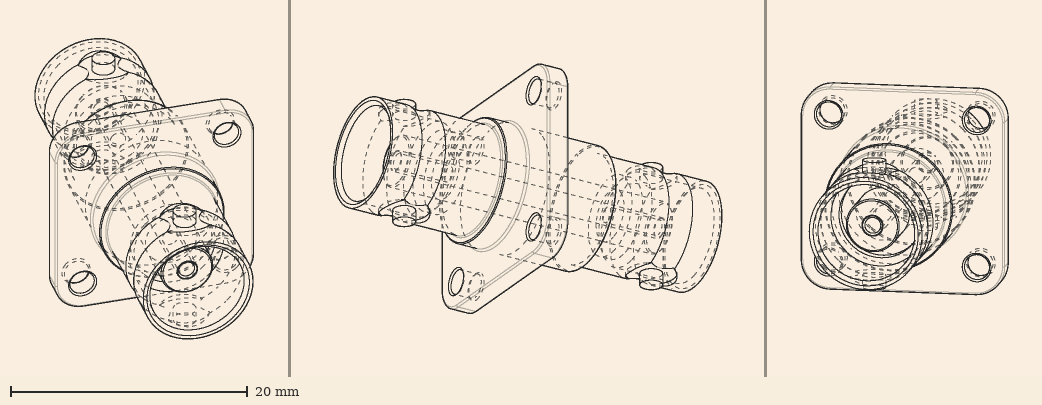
import cadquery as cq

LENGTH = 32.5
FLANGE_SIDE = 17.5

BARREL_RADIUS = 4.85
BARREL_ROOT_FILLET = 0.13
BOSS_RADIUS = 5.5
BOSS_LENGTH = 10.92
BOSS_EDGE_CHAMFER = 0.1

FLANGE_START = 1.25
FLANGE_THICKNESS = 2.0
FLANGE_CORNER_RADIUS = 2.5
FLANGE_EDGE_FILLET = 0.15
FLANGE_ROOT_FILLET = 0.2
SCREW_SPACING = 12.7
SCREW_HOLE_RADIUS = 1.07
SCREW_HOLE_CHAMFER = 0.15

LUG_OFFSET = 12.2
LUG_RADIUS = 0.98
LUG_TIP_HEIGHT = BOSS_RADIUS
RECESS_RADIUS = 2.18
RECESS_FLOOR_HEIGHT = 4.42
GROOVE_WIDTH = 2.35
GROOVE_DEPTH = 0.23

MOUTH_RADIUS = 4.52
BORE_RADIUS = 4.15
BORE_DEPTH = 6.5
SEAT_RADIUS = 3.58
SOCKET_DEPTH = 8.13

INSULATOR_RADIUS = 2.28
INSULATOR_EDGE_CHAMFER = 0.13
INSULATOR_RECESS = 3.25
CONTACT_RADIUS = 0.9
CONTACT_HOLE_RADIUS = 0.68
CONTACT_HOLE_DEPTH = 5.2
CONTACT_MOUTH_CHAMFER = 0.15

HALF_LENGTH = LENGTH / 2
CORE_HALF_LENGTH = HALF_LENGTH - INSULATOR_RECESS
ENDS = (-1, 1)
LUG_SIDES = (-1, 1)


def x_cylinder(radius, length, start):
    """Cylinder on the connector axis, running along +X from start."""
    return cq.Workplane("YZ").workplane(offset=start).circle(radius).extrude(length)


def revolve_about_x(profile):
    """Full turn of an XY profile about the X axis."""
    return profile.close().revolve(360, (0, 0, 0), (1, 0, 0))


def fillet_step(body, x, inner_radius, fillet):
    """Round the inside corner where a cylinder about X meets a flat face at x."""
    margin = 0.03
    reach = inner_radius + margin
    corner = cq.selectors.BoxSelector(
        (x - margin, -reach, -reach), (x + margin, reach, reach), boundingbox=True
    )
    return body.edges(corner).fillet(fillet)


def make_shell():
    """Barrel along the full length with a chamfered boss in the middle."""
    half_boss = BOSS_LENGTH / 2
    barrel = x_cylinder(BARREL_RADIUS, LENGTH, -HALF_LENGTH)
    boss = x_cylinder(BOSS_RADIUS, BOSS_LENGTH, -half_boss).edges().chamfer(BOSS_EDGE_CHAMFER)
    shell = barrel.union(boss)
    for end in ENDS:
        shell = fillet_step(shell, end * half_boss, BARREL_RADIUS, BARREL_ROOT_FILLET)
    return shell


def make_flange():
    """Rounded square plate with four chamfered screw holes."""
    plate = (
        cq.Workplane("YZ")
        .workplane(offset=FLANGE_START)
        .rect(FLANGE_SIDE, FLANGE_SIDE)
        .extrude(FLANGE_THICKNESS)
        .edges("|X")
        .fillet(FLANGE_CORNER_RADIUS)
        .faces("<X or >X")
        .edges()
        .fillet(FLANGE_EDGE_FILLET)
    )
    holes = (
        cq.Workplane("YZ")
        .workplane(offset=FLANGE_START)
        .rect(SCREW_SPACING, SCREW_SPACING, forConstruction=True)
        .vertices()
        .circle(SCREW_HOLE_RADIUS)
        .extrude(FLANGE_THICKNESS)
    )
    hole_mouths = cq.selectors.RadiusNthSelector(0)
    return plate.cut(holes).faces("<X or >X").edges(hole_mouths).chamfer(SCREW_HOLE_CHAMFER)


def make_ring_groove(x):
    """Ring of circular-arc section that cuts a shallow groove in the barrel."""
    half_width = GROOVE_WIDTH / 2
    profile = (
        cq.Workplane("XY")
        .moveTo(x - half_width, BARREL_RADIUS)
        .threePointArc((x, BARREL_RADIUS - GROOVE_DEPTH), (x + half_width, BARREL_RADIUS))
        .lineTo(x + half_width, BOSS_RADIUS)
        .lineTo(x - half_width, BOSS_RADIUS)
    )
    return revolve_about_x(profile)


def z_post(x, radius, side, top):
    """Post along Z from the recess floor outwards, above or below the axis."""
    height = top - RECESS_FLOOR_HEIGHT
    return (
        cq.Workplane("XY")
        .workplane(offset=side * RECESS_FLOOR_HEIGHT)
        .center(x, 0)
        .circle(radius)
        .extrude(side * height)
    )


def make_socket(end):
    """Cavity of one socket, with 45 degree cones at the mouth and at the step."""
    mouth_chamfer = MOUTH_RADIUS - BORE_RADIUS
    taper_length = BORE_RADIUS - SEAT_RADIUS
    profile = (
        cq.Workplane("XY")
        .moveTo(end * HALF_LENGTH, 0)
        .lineTo(end * HALF_LENGTH, MOUTH_RADIUS)
        .lineTo(end * (HALF_LENGTH - mouth_chamfer), BORE_RADIUS)
        .lineTo(end * (HALF_LENGTH - BORE_DEPTH), BORE_RADIUS)
        .lineTo(end * (HALF_LENGTH - BORE_DEPTH - taper_length), SEAT_RADIUS)
        .lineTo(end * (HALF_LENGTH - SOCKET_DEPTH), SEAT_RADIUS)
        .lineTo(end * (HALF_LENGTH - SOCKET_DEPTH), 0)
    )
    return revolve_about_x(profile)


def make_housing():
    """Shell and flange with grooves, lugs, sockets and the insulator bore."""
    housing = make_shell().union(make_flange())
    for flange_face in (FLANGE_START, FLANGE_START + FLANGE_THICKNESS):
        housing = fillet_step(housing, flange_face, BOSS_RADIUS, FLANGE_ROOT_FILLET)
    for end in ENDS:
        x = end * LUG_OFFSET
        housing = housing.cut(make_ring_groove(x))
        for side in LUG_SIDES:
            housing = housing.cut(z_post(x, RECESS_RADIUS, side, BOSS_RADIUS))
            housing = housing.union(z_post(x, LUG_RADIUS, side, LUG_TIP_HEIGHT))
        housing = housing.cut(make_socket(end))
    return housing.cut(x_cylinder(INSULATOR_RADIUS, LENGTH, -HALF_LENGTH))


def make_insulator():
    """Rod with chamfered ends, bored through for the contact."""
    rod = x_cylinder(INSULATOR_RADIUS, 2 * CORE_HALF_LENGTH, -CORE_HALF_LENGTH)
    contact_bore = x_cylinder(CONTACT_RADIUS, 2 * CORE_HALF_LENGTH, -CORE_HALF_LENGTH)
    return rod.edges().chamfer(INSULATOR_EDGE_CHAMFER).cut(contact_bore)


def make_contact():
    """Centre rod with a blind hole in each end, chamfered at the mouth."""
    contact = x_cylinder(CONTACT_RADIUS, 2 * CORE_HALF_LENGTH, -CORE_HALF_LENGTH)
    for end in ENDS:
        hole = x_cylinder(CONTACT_HOLE_RADIUS, -end * CONTACT_HOLE_DEPTH, end * CORE_HALF_LENGTH)
        contact = contact.cut(hole)
    hole_mouths = cq.selectors.RadiusNthSelector(0)
    return contact.faces("<X or >X").edges(hole_mouths).chamfer(CONTACT_MOUTH_CHAMFER)


housing = make_housing()
insulator = make_insulator()
contact = make_contact()
result = cq.Compound.makeCompound([housing.val(), insulator.val(), contact.val()])